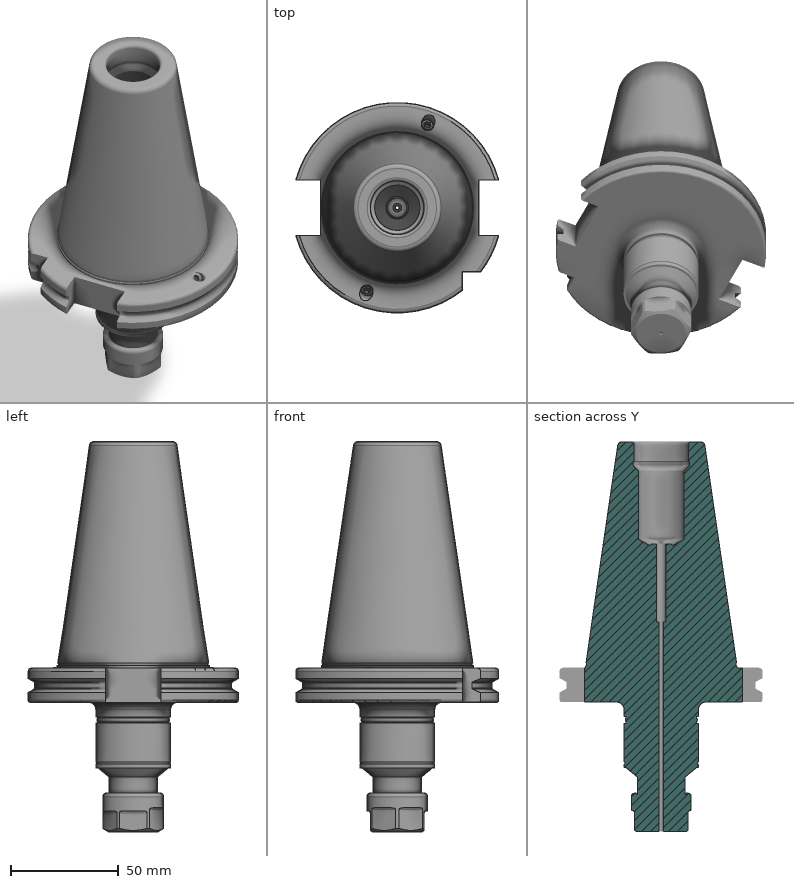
import cadquery as cq
import math

TOTAL_HEIGHT = 180.8
ARC_MIDDLE = math.sqrt(0.5)

TAPER_SLOPE = 7 / 24 / 2
GAUGE_DIAMETER = 69.8
GAUGE_RADIUS = GAUGE_DIAMETER / 2
GAUGE_Z = 79.0
TAPER_BASE_Z = 78.3
TAPER_TOP_FILLET = 2.2
RELIEF_RADIUS = 34.7
COLLAR_RADIUS = 35.3
COLLAR_TOP_Z = 77.0

FLANGE_DIAMETER = 97.5
FLANGE_RADIUS = FLANGE_DIAMETER / 2
FLANGE_TOP_Z = 76.0
FLANGE_THICKNESS = 16.0
FLANGE_BOTTOM_Z = FLANGE_TOP_Z - FLANGE_THICKNESS
FLANGE_TOP_FILLET = 1.6
FLANGE_BOTTOM_FILLET = 1.0
GRIP_GROOVE_Z = 67.8
GRIP_GROOVE_DEPTH = 3.0
GRIP_GROOVE_FLOOR = 3.0
GRIP_GROOVE_SIDE_ANGLE = 30.0
GRIP_GROOVE_FLOOR_FILLET = 0.5

DRIVE_SLOT_WIDTH = 25.7
DRIVE_SLOT_MINUS_X = 35.6
DRIVE_SLOT_PLUS_X = 37.8
NOTCH_X = 30.2
NOTCH_Y = 29.7

SHANK_RADIUS = 17.4
SHANK_TOP_FILLET = 3.3
SHANK_BOTTOM_Z = 29.7
SHANK_LEDGE = 1.0
RING_GROOVE_TOP_Z = 53.4
RING_GROOVE_WIDTH = 2.9
RING_GROOVE_LAND = 0.5
RING_GROOVE_DEPTH = 0.9
RING_BULGE = 0.4
MARK_GROOVE_TOP_Z = 32.4
MARK_GROOVE_WIDTH = 0.9
MARK_GROOVE_DEPTH = 0.4
NECK_RADIUS = 11.2
NECK_TOP_Z = 25.5

NUT_DIAMETER = 28.0
NUT_RADIUS = NUT_DIAMETER / 2
NUT_HEIGHT = 18.0
NUT_TOP_FILLET = 1.8
NUT_MOUTH_RADIUS = 12.0
NUT_MOUTH_DEPTH = 0.7
NUT_FACE_RADIUS = 11.4
NUT_BOTTOM_CHAMFER = 1.6
NUT_FLAT_COUNT = 6
NUT_FLAT_DISTANCE = 12.5
NUT_FLAT_TOP_Z = 9.8
NUT_TALL_FLAT_TOP_Z = 11.2
NUT_TALL_FLATS = (240, 300)
NUT_FLAT_FILLET = 0.9

BORE_RADIUS = 12.5
BORE_MOUTH_FILLET = 1.5
BORE_DEPTH = 9.0
UNDERCUT_DEPTH = 0.5
UNDERCUT_BOTTOM = 11.5
PILOT_RADIUS = 10.5
PILOT_DEPTH = 45.2
FLOOR_CONE_DEPTH = 2.9
BOSS_RADIUS = 5.2
BOSS_CHAMFER = 0.7
COOLANT_RADIUS = 2.0
COOLANT_DEPTH = 36.2
THROUGH_RADIUS = 0.9

PLUG_DIAMETER = 6.0
PLUG_RADIUS = PLUG_DIAMETER / 2
PLUG_LENGTH = 5.5
PLUG_RECESS = 1.6
PLUG_PITCH_RADIUS = 42.0
PLUG_DIRECTIONS = (70, 250)
PLUG_TILT = 37.0
PLUG_CHAMFER = 0.4
SOCKET_FLATS = 3.0
SOCKET_DEPTH = 2.4
SOCKET_SIDES = 6
SOCKET_TURN = 180 / SOCKET_SIDES


def taper_radius(z):
    return GAUGE_RADIUS + (GAUGE_Z - z) * TAPER_SLOPE


def revolved(profile):
    """Spin a closed radius-height outline around Z."""
    return profile.close().revolve(360, (0, 0, 0), (0, 1, 0))


def revolved_polygon(points):
    """Closed outline of points (radius, z), spun around Z."""
    return revolved(cq.Workplane("XZ").polyline(points))


def taper():
    base_radius = taper_radius(TAPER_BASE_Z)
    cone = revolved_polygon([
        (0, FLANGE_TOP_Z),
        (COLLAR_RADIUS, FLANGE_TOP_Z),
        (COLLAR_RADIUS, COLLAR_TOP_Z),
        (RELIEF_RADIUS, COLLAR_TOP_Z),
        (RELIEF_RADIUS, TAPER_BASE_Z),
        (base_radius, TAPER_BASE_Z),
        (taper_radius(TOTAL_HEIGHT), TOTAL_HEIGHT),
        (0, TOTAL_HEIGHT),
    ])
    return cone.faces(">Z").edges().fillet(TAPER_TOP_FILLET)


def grip_groove():
    floor_half = GRIP_GROOVE_FLOOR / 2
    mouth_half = floor_half + GRIP_GROOVE_DEPTH * math.tan(math.radians(GRIP_GROOVE_SIDE_ANGLE))
    floor_radius = FLANGE_RADIUS - GRIP_GROOVE_DEPTH
    groove = revolved_polygon([
        (floor_radius, GRIP_GROOVE_Z - floor_half),
        (FLANGE_RADIUS, GRIP_GROOVE_Z - mouth_half),
        (FLANGE_RADIUS, GRIP_GROOVE_Z + mouth_half),
        (floor_radius, GRIP_GROOVE_Z + floor_half),
    ])
    floor_edges = groove.edges(cq.selectors.RadiusNthSelector(0))
    return floor_edges.fillet(GRIP_GROOVE_FLOOR_FILLET)


def rim_block(x_from_axis, y_from_axis, width):
    """Block as tall as the flange, one rim radius long in X, centred on the given point."""
    start = cq.Workplane("XY", origin=(x_from_axis, y_from_axis, FLANGE_BOTTOM_Z))
    return start.rect(FLANGE_RADIUS, width).extrude(FLANGE_THICKNESS)


def rim_cuts():
    """Two driving slots of unequal depth and a corner notch, all through the flange."""
    half = FLANGE_RADIUS / 2
    slot_minus = rim_block(-DRIVE_SLOT_MINUS_X - half, 0, DRIVE_SLOT_WIDTH)
    slot_plus = rim_block(DRIVE_SLOT_PLUS_X + half, 0, DRIVE_SLOT_WIDTH)
    notch = rim_block(NOTCH_X + half, -NOTCH_Y - half, FLANGE_RADIUS)
    return slot_minus.union(slot_plus).union(notch)


def flange():
    start = cq.Workplane("XY", origin=(0, 0, FLANGE_BOTTOM_Z))
    disc = start.circle(FLANGE_RADIUS).extrude(FLANGE_THICKNESS)
    disc = disc.faces(">Z").edges().fillet(FLANGE_TOP_FILLET)
    disc = disc.faces("<Z").edges().fillet(FLANGE_BOTTOM_FILLET)
    return disc.cut(grip_groove()).cut(rim_cuts())


def shank():
    """Cylinder that flares into the flange and tapers down to the neck."""
    flare_z = FLANGE_BOTTOM_Z - SHANK_TOP_FILLET
    flare_radius = SHANK_RADIUS + SHANK_TOP_FILLET
    arc_middle = SHANK_TOP_FILLET * ARC_MIDDLE
    ring_radius = SHANK_RADIUS - RING_GROOVE_DEPTH
    ring_bottom_z = RING_GROOVE_TOP_Z - RING_GROOVE_WIDTH
    ring_middle_z = RING_GROOVE_TOP_Z - RING_GROOVE_WIDTH / 2
    mark_radius = SHANK_RADIUS - MARK_GROOVE_DEPTH
    neck_bottom_z = NUT_HEIGHT - NUT_MOUTH_DEPTH
    mark_bottom_z = MARK_GROOVE_TOP_Z - MARK_GROOVE_WIDTH
    profile = (
        cq.Workplane("XZ")
        .moveTo(0, FLANGE_BOTTOM_Z)
        .lineTo(flare_radius, FLANGE_BOTTOM_Z)
        .threePointArc((flare_radius - arc_middle, flare_z + arc_middle), (SHANK_RADIUS, flare_z))
        .lineTo(SHANK_RADIUS, RING_GROOVE_TOP_Z)
        .lineTo(ring_radius, RING_GROOVE_TOP_Z)
        .lineTo(ring_radius, RING_GROOVE_TOP_Z - RING_GROOVE_LAND)
        .threePointArc(
            (ring_radius + RING_BULGE, ring_middle_z),
            (ring_radius, ring_bottom_z + RING_GROOVE_LAND),
        )
        .lineTo(ring_radius, ring_bottom_z)
        .lineTo(SHANK_RADIUS, ring_bottom_z)
        .lineTo(SHANK_RADIUS, MARK_GROOVE_TOP_Z)
        .lineTo(mark_radius, MARK_GROOVE_TOP_Z)
        .lineTo(mark_radius, mark_bottom_z)
        .lineTo(SHANK_RADIUS, mark_bottom_z)
        .lineTo(SHANK_RADIUS, SHANK_BOTTOM_Z)
        .lineTo(SHANK_RADIUS - SHANK_LEDGE, SHANK_BOTTOM_Z)
        .lineTo(NECK_RADIUS, NECK_TOP_Z)
        .lineTo(NECK_RADIUS, neck_bottom_z)
        .lineTo(0, neck_bottom_z)
    )
    return revolved(profile)


def nut_flat_cut(direction):
    """Material outside one flat, its upper end rounded into a level ledge."""
    top_z = NUT_TALL_FLAT_TOP_Z if direction in NUT_TALL_FLATS else NUT_FLAT_TOP_Z
    fillet_radius = NUT_FLAT_DISTANCE + NUT_FLAT_FILLET
    fillet_z = top_z - NUT_FLAT_FILLET
    arc_middle = NUT_FLAT_FILLET * ARC_MIDDLE
    section = (
        cq.Workplane("XZ")
        .moveTo(NUT_FLAT_DISTANCE, 0)
        .lineTo(NUT_FLAT_DISTANCE, fillet_z)
        .threePointArc((fillet_radius - arc_middle, fillet_z + arc_middle), (fillet_radius, top_z))
        .lineTo(NUT_RADIUS, top_z)
        .lineTo(NUT_RADIUS, 0)
        .close()
    )
    return section.extrude(NUT_RADIUS, both=True).rotate((0, 0, 0), (0, 0, 1), direction)


def nut():
    body = revolved_polygon([
        (0, 0),
        (NUT_FACE_RADIUS, 0),
        (NUT_RADIUS, NUT_BOTTOM_CHAMFER),
        (NUT_RADIUS, NUT_HEIGHT),
        (0, NUT_HEIGHT),
    ])
    body = body.faces(">Z").edges().fillet(NUT_TOP_FILLET)
    body = body.cut(revolved_polygon([
        (0, NUT_HEIGHT),
        (NUT_MOUTH_RADIUS, NUT_HEIGHT),
        (NECK_RADIUS, NUT_HEIGHT - NUT_MOUTH_DEPTH),
        (0, NUT_HEIGHT - NUT_MOUTH_DEPTH),
    ]))
    for index in range(NUT_FLAT_COUNT):
        body = body.cut(nut_flat_cut(index * 360 // NUT_FLAT_COUNT))
    return body


def bore():
    """Stepped bore from the taper end, with a chamfered boss on its floor and a fine hole through it."""
    top = TOTAL_HEIGHT
    mouth_radius = BORE_RADIUS + BORE_MOUTH_FILLET
    mouth_z = top - BORE_MOUTH_FILLET
    arc_middle = BORE_MOUTH_FILLET * ARC_MIDDLE
    undercut_radius = BORE_RADIUS + UNDERCUT_DEPTH
    undercut_z = top - UNDERCUT_BOTTOM
    pilot_top_z = undercut_z - (BORE_RADIUS - PILOT_RADIUS)
    pilot_z = top - PILOT_DEPTH
    boss_base_z = pilot_z - FLOOR_CONE_DEPTH
    boss_top_z = boss_base_z + BOSS_CHAMFER
    coolant_z = boss_top_z - COOLANT_DEPTH
    profile = (
        cq.Workplane("XZ")
        .moveTo(0, top)
        .lineTo(mouth_radius, top)
        .threePointArc((mouth_radius - arc_middle, mouth_z + arc_middle), (BORE_RADIUS, mouth_z))
        .lineTo(BORE_RADIUS, top - BORE_DEPTH)
        .lineTo(undercut_radius, top - BORE_DEPTH - UNDERCUT_DEPTH)
        .lineTo(undercut_radius, undercut_z + UNDERCUT_DEPTH)
        .lineTo(BORE_RADIUS, undercut_z)
        .lineTo(PILOT_RADIUS, pilot_top_z)
        .lineTo(PILOT_RADIUS, pilot_z)
        .lineTo(BOSS_RADIUS, boss_base_z)
        .lineTo(BOSS_RADIUS - BOSS_CHAMFER, boss_top_z)
        .lineTo(COOLANT_RADIUS, boss_top_z)
        .lineTo(COOLANT_RADIUS, coolant_z)
        .lineTo(THROUGH_RADIUS, coolant_z)
        .lineTo(THROUGH_RADIUS, 0)
        .lineTo(0, 0)
    )
    return revolved(profile)


def plug_plane(direction):
    """Plane on the flange face at a coolant hole, its normal along the hole, pointing up and outward."""
    angle = math.radians(direction)
    tilt = math.radians(PLUG_TILT)
    outward = cq.Vector(math.cos(angle), math.sin(angle), 0)
    origin = outward * PLUG_PITCH_RADIUS + cq.Vector(0, 0, FLANGE_TOP_Z)
    normal = outward * math.sin(tilt) + cq.Vector(0, 0, math.cos(tilt))
    sideways = cq.Vector(-math.sin(angle), math.cos(angle), 0)
    return cq.Plane(origin=origin, xDir=sideways, normal=normal)


def coolant_hole(direction):
    bottom = -PLUG_RECESS - PLUG_LENGTH
    clearance = PLUG_DIAMETER
    start = cq.Workplane(plug_plane(direction)).workplane(offset=bottom)
    return start.circle(PLUG_RADIUS).extrude(clearance - bottom)


def plug_screw(direction):
    """Headless screw that fills the lower part of a coolant hole."""
    top = cq.Workplane(plug_plane(direction)).workplane(offset=-PLUG_RECESS)
    screw = top.circle(PLUG_RADIUS).extrude(-PLUG_LENGTH).edges().chamfer(PLUG_CHAMFER)
    turned = top.transformed(rotate=(0, 0, SOCKET_TURN))
    socket = turned.polygon(SOCKET_SIDES, SOCKET_FLATS, circumscribed=True)
    return screw.cut(socket.extrude(-SOCKET_DEPTH))


def holder():
    body = taper().union(flange()).union(shank()).union(nut()).cut(bore())
    for direction in PLUG_DIRECTIONS:
        body = body.cut(coolant_hole(direction))
    return body


plug_screws = [plug_screw(direction).val() for direction in PLUG_DIRECTIONS]
result = cq.Compound.makeCompound([holder().val(), *plug_screws])